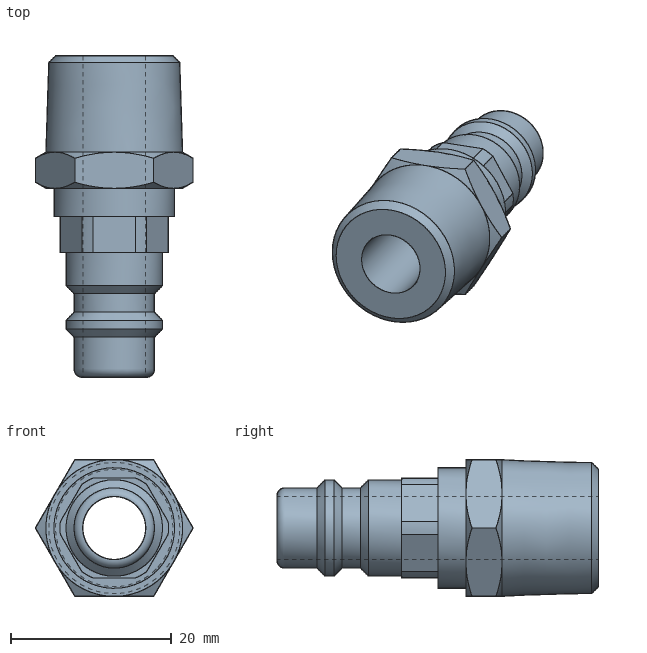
import cadquery as cq
import math


total_length = 40.0
thread_length = 12.0
gauge_length = 6.4
large_hex_length = 4.5
collar_length = 3.5
small_hex_length = 4.5
shank_length = 4.1
thread_start = total_length - thread_length
gauge_plane = total_length - gauge_length
large_hex_start = thread_start - large_hex_length
collar_start = large_hex_start - collar_length
small_hex_start = collar_start - small_hex_length
shank_start = small_hex_start - shank_length

shank_radius = 6.0
plug_radius = 5.0
bore_radius = 3.9
tip_round = 1.0
shoulder_step = shank_radius - plug_radius
groove_front = 8.1
bead_back = groove_front - shoulder_step
bead_front = 6.0
tip_cylinder_end = bead_front - shoulder_step

collar_radius = 7.5
large_hex_flats = 17.0
large_hex_bevel = math.radians(30)
small_hex_flats = 12.4
small_hex_corner_radius = 13.5 / 2

gauge_radius = 16.662 / 2
taper_per_length = 1 / 32
thread_chamfer = 0.86


def thread_radius(y):
    """Radius of the tapered thread envelope at station y."""
    return gauge_radius - (y - gauge_plane) * taper_per_length


def revolve_about_y(profile):
    """Turn a closed half profile, drawn as (radius, y), about the Y axis."""
    return profile.close().revolve(360, (0, 0, 0), (0, 1, 0))


def cylinder(radius, start, length):
    """Round bar along Y."""
    return cq.Workplane("XZ", origin=(0, start, 0)).circle(radius).extrude(-length)


def hex_prism(across_flats, start, length):
    """Hexagonal bar along Y with corners on the X axis."""
    across_corners = across_flats / math.cos(math.radians(30))
    return cq.Workplane("XZ", origin=(0, start, 0)).polygon(6, across_corners).extrude(-length)


def make_plug_end():
    """Tip, bead, groove and shank; the tip round leaves a narrow flat around the bore."""
    arc_inset = tip_round * (1 - math.sqrt(0.5))
    profile = (
        cq.Workplane("XY")
        .lineTo(plug_radius - tip_round, 0)
        .threePointArc((plug_radius - arc_inset, arc_inset), (plug_radius, tip_round))
        .lineTo(plug_radius, tip_cylinder_end)
        .lineTo(shank_radius, bead_front)
        .lineTo(shank_radius, bead_back)
        .lineTo(plug_radius, groove_front)
        .lineTo(plug_radius, shank_start - shoulder_step)
        .lineTo(shank_radius, shank_start)
        .lineTo(shank_radius, small_hex_start)
        .lineTo(0, small_hex_start)
    )
    return revolve_about_y(profile)


def make_small_hex():
    """Hexagon with its corners turned down to a cylinder."""
    prism = hex_prism(small_hex_flats, small_hex_start, small_hex_length)
    return prism.intersect(cylinder(small_hex_corner_radius, small_hex_start, small_hex_length))


def make_large_hex():
    """Wrench hexagon with its corners bevelled at both ends."""
    face_radius = large_hex_flats / 2
    bevel_depth = large_hex_length / 2
    middle_radius = face_radius + bevel_depth / math.tan(large_hex_bevel)
    envelope = revolve_about_y(
        cq.Workplane("XY")
        .moveTo(0, large_hex_start)
        .lineTo(face_radius, large_hex_start)
        .lineTo(middle_radius, large_hex_start + bevel_depth)
        .lineTo(face_radius, thread_start)
        .lineTo(0, thread_start)
    )
    return hex_prism(large_hex_flats, large_hex_start, large_hex_length).intersect(envelope)


def make_thread():
    """Tapered thread envelope with a 45 degree lead chamfer."""
    chamfer_start = total_length - thread_chamfer
    chamfer_radius = thread_radius(chamfer_start)
    return revolve_about_y(
        cq.Workplane("XY")
        .moveTo(0, thread_start)
        .lineTo(thread_radius(thread_start), thread_start)
        .lineTo(chamfer_radius, chamfer_start)
        .lineTo(chamfer_radius - thread_chamfer, total_length)
        .lineTo(0, total_length)
    )


body = (
    make_plug_end()
    .union(make_small_hex())
    .union(cylinder(collar_radius, collar_start, collar_length))
    .union(make_large_hex())
    .union(make_thread())
)
result = body.cut(cylinder(bore_radius, 0, total_length))